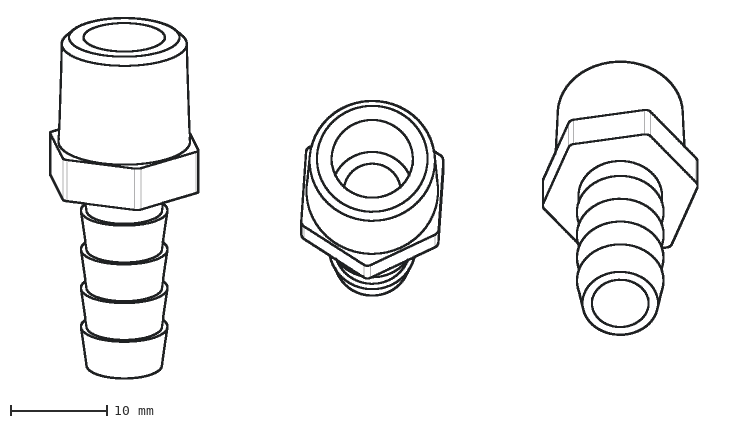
import cadquery as cq

total_height = 36.32
hex_across_flats = 14.27
hex_corner_radius = 0.7
hex_bottom = 20.2
hex_top = 24.77

pipe_base_radius = 6.83
pipe_tip_radius = 6.5
pipe_mouth_radius = 5.75
chamfer_height = 0.73

barb_count = 4
barb_pitch = 4.3
barb_root_radius = 3.92
barb_crest_radius = 4.5

hose_bore_radius = 2.95
pipe_bore_radius = 4.2
pipe_bore_depth = total_height - hex_top


def cone_section(bottom_z, top_z, bottom_radius, top_radius):
    """Solid cone frustum on the Z axis."""
    return cq.Workplane("XZ").polyline([
        (0, bottom_z),
        (bottom_radius, bottom_z),
        (top_radius, top_z),
        (0, top_z),
    ]).close().revolve(360, (0, 0), (0, 1))


def make_hexagon():
    """Wrench hexagon with flats facing +X and -X."""
    circumscribed_diameter = hex_across_flats / (3 ** 0.5 / 2)
    return (
        cq.Workplane("XY", origin=(0, 0, hex_bottom))
        .polygon(6, circumscribed_diameter)
        .extrude(hex_top - hex_bottom)
        .rotate((0, 0, 0), (0, 0, 1), 30)
        .edges("|Z")
        .fillet(hex_corner_radius)
    )


def make_hose_tail():
    """Stack of barbs; the neck below the hexagon is a shortened barb."""
    barbs_top = barb_count * barb_pitch
    neck_fraction = (hex_bottom - barbs_top) / barb_pitch
    neck_top_radius = barb_root_radius + neck_fraction * (barb_crest_radius - barb_root_radius)
    tail = cone_section(barbs_top, hex_bottom, barb_root_radius, neck_top_radius)
    for index in range(barb_count):
        bottom_z = index * barb_pitch
        tail = tail.union(
            cone_section(bottom_z, bottom_z + barb_pitch, barb_root_radius, barb_crest_radius)
        )
    return tail


def make_pipe_end():
    """Tapered pipe end with a chamfered mouth."""
    chamfer_bottom = total_height - chamfer_height
    taper = cone_section(hex_top, chamfer_bottom, pipe_base_radius, pipe_tip_radius)
    mouth = cone_section(chamfer_bottom, total_height, pipe_tip_radius, pipe_mouth_radius)
    return taper.union(mouth)


body = make_hexagon().union(make_hose_tail()).union(make_pipe_end())

hose_bore = cq.Workplane("XY").circle(hose_bore_radius).extrude(total_height)
pipe_bore = (
    cq.Workplane("XY", origin=(0, 0, total_height))
    .circle(pipe_bore_radius)
    .extrude(-pipe_bore_depth)
)
result = body.cut(hose_bore).cut(pipe_bore)